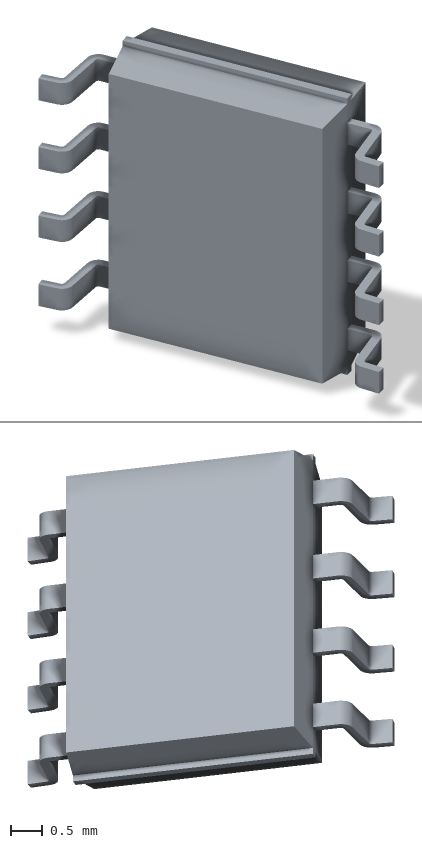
import cadquery as cq
import math

HOUSING_WIDTH = 3.95
HOUSING_DEPTH = 1.555
FLANGE_HEIGHT = 5.13
FLANGE_STEP = 0.1
DRAFT_ANGLE = 8.0

LEAD_THICKNESS = 0.15
LEAD_WIDTH = 0.4
LEAD_PITCH = 1.27
LEADS_PER_SIDE = 4
LEAD_SPAN = 6.0
OVERALL_DEPTH = 1.8
LEG_X = 2.49
LEG_ANGLE = math.radians(5.0)
FOOT_ANGLE = math.radians(4.0)
INNER_BEND_RADIUS = 0.05
OUTER_BEND_RADIUS = INNER_BEND_RADIUS + LEAD_THICKNESS

HALF_THICKNESS = LEAD_THICKNESS / 2
FOOT_LEVEL = HOUSING_DEPTH / 2 - OVERALL_DEPTH


def make_housing():
    """Flange plate with a drafted half grown from each of its two broad faces."""
    half_depth = (HOUSING_DEPTH - LEAD_THICKNESS) / 2
    housing = cq.Workplane("XY").box(HOUSING_WIDTH, LEAD_THICKNESS, FLANGE_HEIGHT)
    for broad_face in ("<Y", ">Y"):
        housing = (
            housing.faces(broad_face)
            .workplane(centerOption="CenterOfBoundBox")
            .rect(HOUSING_WIDTH, FLANGE_HEIGHT - 2 * FLANGE_STEP)
            .extrude(half_depth, taper=DRAFT_ANGLE)
        )
    return housing


def make_lead():
    """Gull-wing lead on the +X side, centred on Z = 0."""
    leg_direction = cq.Vector(math.sin(LEG_ANGLE), -math.cos(LEG_ANGLE))
    foot_direction = cq.Vector(math.cos(FOOT_ANGLE), -math.sin(FOOT_ANGLE))
    foot_normal = cq.Vector(math.sin(FOOT_ANGLE), math.cos(FOOT_ANGLE))

    root = cq.Vector(HOUSING_WIDTH / 2, 0)
    shoulder = cq.Vector(LEG_X, 0)
    tip = cq.Vector(
        LEAD_SPAN / 2 - HALF_THICKNESS * foot_normal.x,
        FOOT_LEVEL + HALF_THICKNESS * foot_normal.y,
    )
    leg_length = (shoulder - tip).dot(foot_normal) / -leg_direction.dot(foot_normal)
    ankle = shoulder + leg_direction * leg_length

    shoulder_turn = math.pi / 2 - LEG_ANGLE
    ankle_turn = math.pi / 2 - LEG_ANGLE - FOOT_ANGLE
    root_step = cq.Vector(0, HALF_THICKNESS)
    shoulder_step = cq.Vector(HALF_THICKNESS * math.tan(shoulder_turn / 2), HALF_THICKNESS)
    ankle_step = (foot_normal + foot_direction * math.tan(ankle_turn / 2)) * HALF_THICKNESS
    tip_step = foot_normal * HALF_THICKNESS

    shoulder_outer = shoulder + shoulder_step
    shoulder_inner = shoulder - shoulder_step
    ankle_inner = ankle + ankle_step
    ankle_outer = ankle - ankle_step
    outline = [
        root + root_step,
        shoulder_outer,
        ankle_inner,
        tip + tip_step,
        tip - tip_step,
        ankle_outer,
        shoulder_inner,
        root - root_step,
    ]
    lead = (
        cq.Workplane("XY")
        .polyline([point.toTuple()[:2] for point in outline])
        .close()
        .extrude(LEAD_WIDTH / 2, both=True)
    )
    bends = (
        (shoulder_outer, OUTER_BEND_RADIUS),
        (shoulder_inner, INNER_BEND_RADIUS),
        (ankle_inner, INNER_BEND_RADIUS),
        (ankle_outer, OUTER_BEND_RADIUS),
    )
    for corner, radius in bends:
        lead = lead.edges(cq.NearestToPointSelector(corner.toTuple())).fillet(radius)
    return lead


def make_leads():
    """Evenly spaced leads along Z, with a mirrored row on the -X side."""
    right_lead = make_lead()
    left_lead = right_lead.mirror("YZ")
    first_z = -LEAD_PITCH * (LEADS_PER_SIDE - 1) / 2
    leads = []
    for index in range(LEADS_PER_SIDE):
        offset = (0, 0, first_z + index * LEAD_PITCH)
        leads.append(right_lead.translate(offset).val())
        leads.append(left_lead.translate(offset).val())
    return leads


housing = make_housing()
leads = make_leads()
result = cq.Compound.makeCompound([housing.val(), *leads])